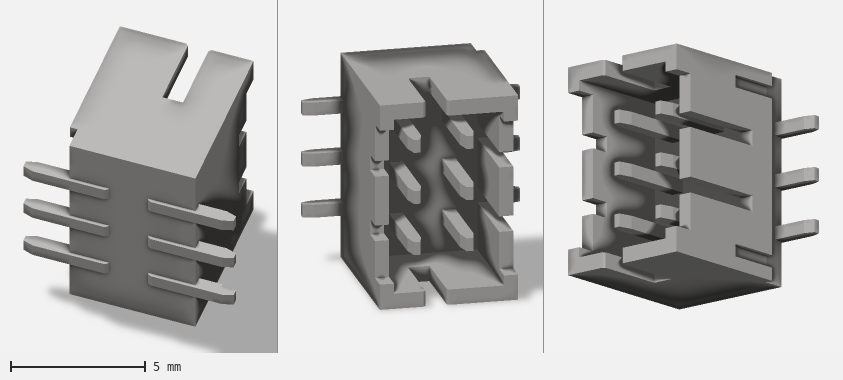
import cadquery as cq


body_width = 5.28
body_depth = 6.4
body_height = 8.0
side_wall = 0.54
end_wall = 0.6
floor_thickness = 2.03
cavity_width = body_width - 2 * side_wall
cavity_height = body_height - 2 * end_wall

step_width = 0.31
step_depth = 0.9

rim_end = 0.99
rim_height = body_height - 2 * rim_end
rim_drop = 0.8

side_slot_width = 0.61
side_slot_offset = 1.26
right_slot_depth = 1.61

key_slot_center = 0.48
key_slot_width = 0.81
key_slot_depth = 2.89
key_chamfer = 0.09

recess_height = 0.48
recess_depth = 0.27
recess_length = 2.11
recess_offset = 3.25

pin_pitch = 2.0
pin_count = 3
pin_thickness = 0.515
pin_width = 0.51
pin_reach = 4.15
pin_inner = 0.75
pin_standout = 0.13
pin_top = 5.53
bend_radius = 0.22
tip_inset = 0.13
tail_tip_length = 0.41
post_tip_length = 0.54


def block(x_min, x_max, y_min, y_max, z_center, height):
    """Box given by its X and Y limits, centred on z_center."""
    width = x_max - x_min
    depth = y_max - y_min
    center = ((x_min + x_max) / 2, (y_min + y_max) / 2, z_center)
    return cq.Workplane("XY").box(width, depth, height).translate(center)


def make_shell():
    """Housing block with its step, cavity and lowered rims."""
    left = -body_width / 2
    right = body_width / 2
    shell = block(left, right, 0, body_depth, 0, body_height)
    step = block(left, left + step_width, 0, step_depth, 0, body_height)
    cavity = block(-cavity_width / 2, cavity_width / 2, floor_thickness, body_depth, 0, cavity_height)
    rims = block(left, right, body_depth - rim_drop, body_depth, 0, rim_height)
    return shell.cut(step).cut(cavity).cut(rims)


def make_side_cuts():
    """Slots through both side walls and the shallow recesses near both ends of the -X side."""
    left = -body_width / 2
    right = body_width / 2
    right_slot_floor = body_depth - right_slot_depth
    recess_top = step_depth + recess_length
    cuts = cq.Workplane("XY")
    for side in (-1, 1):
        slot_z = side * side_slot_offset
        recess_z = side * recess_offset
        left_slot = block(left, left + side_wall, floor_thickness, body_depth, slot_z, side_slot_width)
        right_slot = block(right - side_wall, right, right_slot_floor, body_depth, slot_z, side_slot_width)
        recess = block(left, left + recess_depth, step_depth, recess_top, recess_z, recess_height)
        cuts = cuts.add(left_slot).add(right_slot).add(recess)
    return cuts.combine()


def make_key_slot():
    """Slot through both end walls, flared by a small chamfer at the mouth."""
    left = key_slot_center - key_slot_width / 2
    right = key_slot_center + key_slot_width / 2
    outline = [
        (left, body_depth - key_slot_depth),
        (right, body_depth - key_slot_depth),
        (right, body_depth - key_chamfer),
        (right + key_chamfer, body_depth),
        (left - key_chamfer, body_depth),
        (left, body_depth - key_chamfer),
    ]
    return cq.Workplane("XY").polyline(outline).close().extrude(body_height / 2, both=True)


def make_pin():
    """L-shaped +X pin: a tail along the underside and a post in the cavity, both with tapered tips."""
    tail_bottom = -pin_standout
    tail_top = tail_bottom + pin_thickness
    pin_outer = pin_inner + pin_thickness
    tail_shoulder = pin_reach - tail_tip_length
    post_shoulder = pin_top - post_tip_length
    profile = (
        cq.Workplane("XY")
        .moveTo(pin_inner, tail_bottom + bend_radius)
        .radiusArc((pin_inner + bend_radius, tail_bottom), -bend_radius)
        .lineTo(tail_shoulder, tail_bottom)
        .lineTo(pin_reach, tail_bottom + tip_inset)
        .lineTo(pin_reach, tail_top - tip_inset)
        .lineTo(tail_shoulder, tail_top)
        .lineTo(pin_outer, tail_top)
        .lineTo(pin_outer, post_shoulder)
        .lineTo(pin_outer - tip_inset, pin_top)
        .lineTo(pin_inner + tip_inset, pin_top)
        .lineTo(pin_inner, post_shoulder)
        .close()
    )
    return profile.extrude(pin_width / 2, both=True)


result = make_shell().cut(make_side_cuts()).cut(make_key_slot())

right_pin = make_pin()
left_pin = right_pin.mirror("YZ")
for index in range(pin_count):
    pin_z = (index - (pin_count - 1) / 2) * pin_pitch
    for pin in (left_pin, right_pin):
        result = result.union(pin.translate((0, 0, pin_z)))